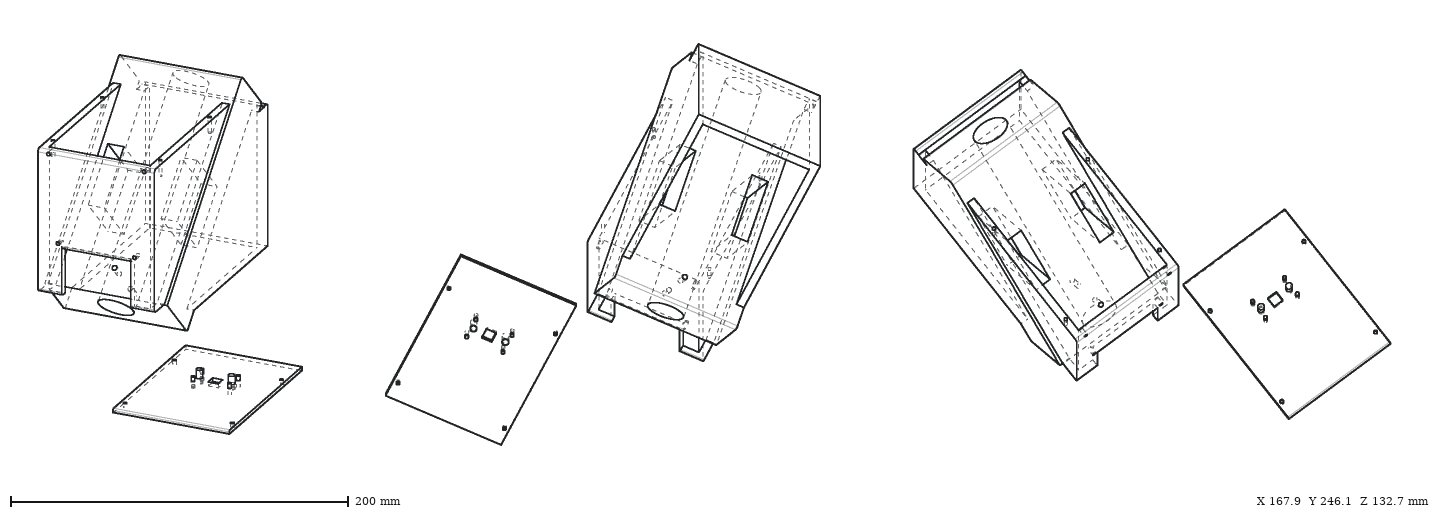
import cadquery as cq
import math


CHUTE_WIDTH = 80.0
CHUTE_LENGTH = 150.0
CHUTE_THICKNESS = 40.0
CHUTE_ANGLE = 45.0
EDGE_RADIUS = 2.0
CENTRE_X = CHUTE_WIDTH / 2
FOOT_Y = 13.9

SLOPE = math.radians(CHUTE_ANGLE)
TIP_ROUNDING = EDGE_RADIUS * (math.sqrt(2) - 1)
FOOT_Z = CHUTE_THICKNESS * math.cos(SLOPE) - TIP_ROUNDING

BORE_DIAMETER = 22.4
CROSS_HOLE_DIAMETER = 3.0
CROSS_HOLE_DISTANCE = 17.3
SLOT_LENGTH = 40.0
SLOT_WIDTH = 10.5
SLOT_SPACING = 47.6
SLOT_START = 53.2

WALL = 5.0

BOX_WIDTH = 76.0
BOX_TOP_Z = 120.4
BOX_BOTTOM_Z = 27.8
WINDOW_WIDTH = 45.0
WINDOW_TOP_Z = 57.8
SCREW_DIAMETER = 2.0
SCREW_DEPTH = 10.0
SCREW_SPACING_X = 70.0
SCREW_SPACING_Y = 70.0
SCREW_FRONT_Y = 14.8
WALL_HOLE_DIAMETER = 2.2
UPPER_HOLE_SPACING = 62.4
UPPER_HOLE_Z = 118.0
LOWER_HOLE_SPACING = 50.0
LOWER_HOLE_Z = 61.2

REAR_BACK_Y = 156.9
REAR_TOP_Z = 101.5
REAR_BOTTOM_Z = 9.2
SIDE_STEP = 0.4

TOTAL_WIDTH = 167.92
TOTAL_DEPTH = 246.13
LID_WIDTH = BOX_WIDTH
LID_LENGTH = 103.2
LID_THICKNESS = 2.5
LID_BOTTOM_Z = 1.5
LID_EDGE_RADIUS = 1.0
LID_CENTRE_X = TOTAL_WIDTH - LID_WIDTH / 2
LID_FRONT_Y = REAR_BACK_Y - TOTAL_DEPTH
LID_HOLE_INSET_Y = 10.7
LID_HOLE_DIAMETER = 2.2
PIN_ROW_INSET_Y = 63.1
LARGE_PIN_DIAMETER = 4.0
LARGE_PIN_SPACING = 21.0
LARGE_PIN_BOTTOM_Z = 0.9
LARGE_PIN_TOP_Z = 9.5
SMALL_PIN_DIAMETER = 2.2
SMALL_PIN_SPACING_X = 23.8
SMALL_PIN_SPACING_Y = 12.5
SMALL_PIN_TOP_Z = 7.0
OPENING_SIDE = 6.5
OPENING_SHIFT_Y = -0.3


def block(centre_x, width, y0, y1, z0, z1):
    """Box centred on centre_x."""
    return cq.Workplane("XY", origin=(centre_x, (y0 + y1) / 2, z0)).rect(width, y1 - y0).extrude(z1 - z0)


def rod(start, direction, diameter, length):
    """Cylinder from the start point along a direction."""
    return cq.Workplane(cq.Plane(origin=start, normal=direction)).circle(diameter / 2).extrude(length)


def mirrored(spacing, centre):
    """The two places on either side of a centre."""
    return (centre - spacing / 2, centre + spacing / 2)


def slope_point(along, depth):
    """Y and Z of a point this far up the chute's face and this deep behind it."""
    y = FOOT_Y + along * math.cos(SLOPE) + depth * math.sin(SLOPE)
    z = FOOT_Z + along * math.sin(SLOPE) - depth * math.cos(SLOPE)
    return (y, z)


def slope_block(centre_x, width, along0, along1, depth0, depth1):
    """Box set parallel to the chute's face."""
    corners = [(along0, depth0), (along1, depth0), (along1, depth1), (along0, depth1)]
    outline = [slope_point(along, depth) for along, depth in corners]
    return cq.Workplane("YZ", origin=(centre_x - width / 2, 0, 0)).polyline(outline).close().extrude(width)


def make_chute():
    chute = slope_block(CENTRE_X, CHUTE_WIDTH, 0, CHUTE_LENGTH, 0, CHUTE_THICKNESS)
    return chute.edges("|X").edges(">Z or <Z or >Y").fillet(EDGE_RADIUS)


def make_front_box():
    """Front wall with two side walls that end on the chute's face."""
    box = block(CENTRE_X, BOX_WIDTH, 0, REAR_BACK_Y, BOX_BOTTOM_Z, BOX_TOP_Z)
    box = box.faces("<Y").edges("|X").fillet(EDGE_RADIUS)
    box = box.cut(block(CENTRE_X, BOX_WIDTH - 2 * WALL, WALL, REAR_BACK_Y, BOX_BOTTOM_Z, BOX_TOP_Z))
    behind_face = slope_block(CENTRE_X, CHUTE_WIDTH, -CHUTE_LENGTH, 2 * CHUTE_LENGTH, 0, 2 * CHUTE_LENGTH)
    return box.cut(behind_face)


def make_rear_box():
    """Back wall with two side walls that end on the chute's back."""
    box = block(CENTRE_X, CHUTE_WIDTH, 0, REAR_BACK_Y, REAR_BOTTOM_Z, REAR_TOP_Z)
    box = box.edges("|X and >Y and >Z").fillet(EDGE_RADIUS)
    inner_y = REAR_BACK_Y - WALL
    box = box.cut(block(CENTRE_X, CHUTE_WIDTH - 2 * WALL, 0, inner_y, REAR_BOTTOM_Z, REAR_TOP_Z))
    box = box.cut(block(CENTRE_X, CHUTE_WIDTH, 0, inner_y, REAR_TOP_Z - SIDE_STEP, REAR_TOP_Z))
    ahead_of_back = slope_block(
        CENTRE_X, CHUTE_WIDTH, -CHUTE_LENGTH, 2 * CHUTE_LENGTH, -2 * CHUTE_LENGTH, CHUTE_THICKNESS
    )
    return box.cut(ahead_of_back)


def cut_chute_openings(housing):
    """Lengthwise bore, a cross hole through it and two slots through the slab."""
    uphill = (0, math.cos(SLOPE), math.sin(SLOPE))
    inward = (0, math.sin(SLOPE), -math.cos(SLOPE))
    bore_start = (CENTRE_X, *slope_point(0, CHUTE_THICKNESS / 2))
    housing = housing.cut(rod(bore_start, uphill, BORE_DIAMETER, CHUTE_LENGTH))
    cross_start = (CENTRE_X, *slope_point(CROSS_HOLE_DISTANCE, 0))
    housing = housing.cut(rod(cross_start, inward, CROSS_HOLE_DIAMETER, CHUTE_THICKNESS))
    for x in mirrored(SLOT_SPACING, CENTRE_X):
        slot = slope_block(x, SLOT_WIDTH, SLOT_START, SLOT_START + SLOT_LENGTH, 0, CHUTE_THICKNESS)
        housing = housing.cut(slot)
    return housing


def cut_window(housing):
    """Opening at the bottom of the front wall, its upper front edge rounded."""
    housing = housing.cut(block(CENTRE_X, WINDOW_WIDTH, 0, WALL, BOX_BOTTOM_Z, WINDOW_TOP_Z))
    upper_edge = cq.selectors.NearestToPointSelector((CENTRE_X, 0, WINDOW_TOP_Z))
    return housing.edges(upper_edge).fillet(EDGE_RADIUS)


def cut_box_holes(housing):
    """Two pairs of holes through the front wall and four blind lid screw holes in the side walls."""
    for spacing, z in ((UPPER_HOLE_SPACING, UPPER_HOLE_Z), (LOWER_HOLE_SPACING, LOWER_HOLE_Z)):
        for x in mirrored(spacing, CENTRE_X):
            housing = housing.cut(rod((x, 0, z), (0, 1, 0), WALL_HOLE_DIAMETER, WALL))
    for x in mirrored(SCREW_SPACING_X, CENTRE_X):
        for y in (SCREW_FRONT_Y, SCREW_FRONT_Y + SCREW_SPACING_Y):
            housing = housing.cut(rod((x, y, BOX_TOP_Z), (0, 0, -1), SCREW_DIAMETER, SCREW_DEPTH))
    return housing


def make_housing():
    housing = make_chute().union(make_front_box()).union(make_rear_box())
    housing = cut_chute_openings(housing)
    housing = cut_window(housing)
    return cut_box_holes(housing)


def make_lid():
    """Plate with four screw holes, a square opening and pins that stand out on both sides."""
    up = (0, 0, 1)
    top_z = LID_BOTTOM_Z + LID_THICKNESS
    lid = block(LID_CENTRE_X, LID_WIDTH, LID_FRONT_Y, LID_FRONT_Y + LID_LENGTH, LID_BOTTOM_Z, top_z)
    lid = lid.edges("|X and <Y and >Z").fillet(LID_EDGE_RADIUS)

    first_hole_y = LID_FRONT_Y + LID_HOLE_INSET_Y
    for x in mirrored(SCREW_SPACING_X, LID_CENTRE_X):
        for y in (first_hole_y, first_hole_y + SCREW_SPACING_Y):
            lid = lid.cut(rod((x, y, LID_BOTTOM_Z), up, LID_HOLE_DIAMETER, LID_THICKNESS))

    pin_row_y = LID_FRONT_Y + PIN_ROW_INSET_Y
    opening_front_y, opening_back_y = mirrored(OPENING_SIDE, pin_row_y + OPENING_SHIFT_Y)
    lid = lid.cut(block(LID_CENTRE_X, OPENING_SIDE, opening_front_y, opening_back_y, LID_BOTTOM_Z, top_z))

    large_pin_length = LARGE_PIN_TOP_Z - LARGE_PIN_BOTTOM_Z
    for x in mirrored(LARGE_PIN_SPACING, LID_CENTRE_X):
        lid = lid.union(rod((x, pin_row_y, LARGE_PIN_BOTTOM_Z), up, LARGE_PIN_DIAMETER, large_pin_length))
    for x in mirrored(SMALL_PIN_SPACING_X, LID_CENTRE_X):
        for y in mirrored(SMALL_PIN_SPACING_Y, pin_row_y):
            lid = lid.union(rod((x, y, 0), up, SMALL_PIN_DIAMETER, SMALL_PIN_TOP_Z))
    return lid


housing = make_housing()
lid = make_lid()
result = cq.Compound.makeCompound([housing.val(), lid.val()])